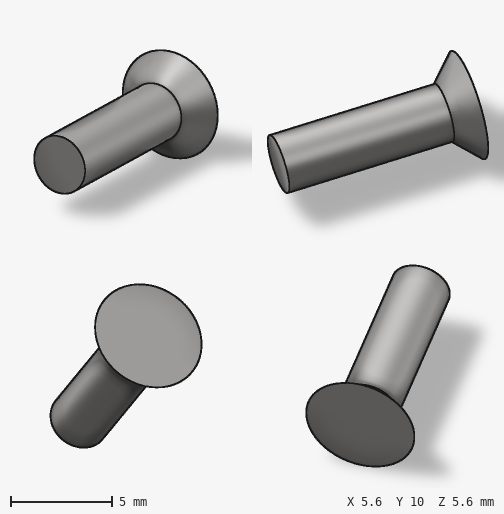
import cadquery as cq

total_length = 10.0
head_diameter = 5.6
shank_diameter = 3.0

head_height = (head_diameter - shank_diameter) / 2
shank_length = total_length - head_height

head_radius = head_diameter / 2
shank_radius = shank_diameter / 2
tip_y = -total_length / 2
neck_y = tip_y + shank_length
head_y = total_length / 2

half_section = (
    cq.Workplane("XY")
    .moveTo(0, tip_y)
    .lineTo(shank_radius, tip_y)
    .lineTo(shank_radius, neck_y)
    .lineTo(head_radius, head_y)
    .lineTo(0, head_y)
    .close()
)

result = half_section.revolve(360, (0, 0, 0), (0, 1, 0))